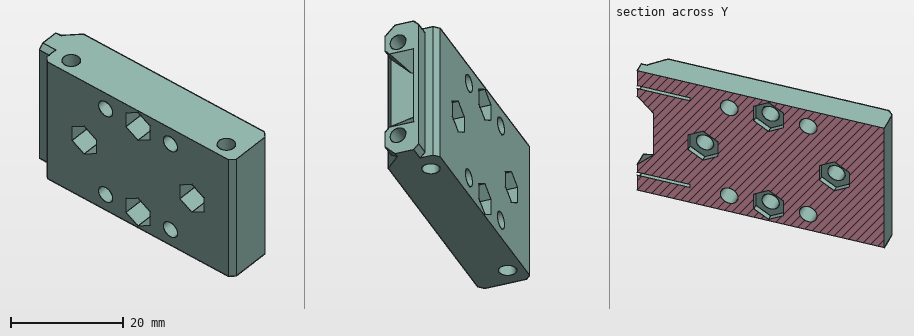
import cadquery as cq

length = 47.0
thickness = 10.0
height = 27.3
half_height = height / 2

edge_chamfer = 1.0
step_x = 3.0
slope_size = 3.0
slope_top_x = step_x + edge_chamfer

tongue_front_y = 2.5
tongue_back_y = thickness - edge_chamfer
tongue_back_chamfer = 1.97

recess_front_y = 3.52
recess_floor_half = 4.75
recess_mouth_half = recess_floor_half + step_x
ear_bevel_half = 8.65
ear_bevel_size = ear_bevel_half - recess_floor_half

ear_hole_diameter = 3.0
ear_hole_y = 6.5
ear_hole_z = 9.85
ear_hole_depth = 10.0

hole_diameter = 3.3
long_hole_y = 3.0
long_hole_xs = (7.0, 43.0)
pattern_x = 25.0
pattern_z = 10.0
plain_hole_offset = 7.5
side_nut_offset = 12.5
nut_corner_diameter = 6.5
nut_depth = 6.0


def make_body():
    outline = [
        (step_x, edge_chamfer),
        (step_x + edge_chamfer, 0),
        (length - edge_chamfer, 0),
        (length, edge_chamfer),
        (length, thickness - edge_chamfer),
        (length - edge_chamfer, thickness),
        (slope_top_x, thickness),
        (slope_top_x - slope_size, thickness - slope_size),
        (step_x, thickness - slope_size),
    ]
    return cq.Workplane("XY").workplane(offset=-half_height).polyline(outline).close().extrude(height)


def make_tongue():
    front_z = half_height - edge_chamfer
    back_z = half_height - tongue_back_chamfer
    outline = [
        (tongue_front_y, -front_z),
        (tongue_front_y + edge_chamfer, -half_height),
        (tongue_back_y - tongue_back_chamfer, -half_height),
        (tongue_back_y, -back_z),
        (tongue_back_y, back_z),
        (tongue_back_y - tongue_back_chamfer, half_height),
        (tongue_front_y + edge_chamfer, half_height),
        (tongue_front_y, front_z),
    ]
    return cq.Workplane("YZ").polyline(outline).close().extrude(step_x)


def make_recess():
    flare = [
        (0, -recess_mouth_half),
        (step_x, -recess_floor_half),
        (step_x, recess_floor_half),
        (0, recess_mouth_half),
    ]
    pocket = (
        cq.Workplane("XZ", origin=(0, recess_front_y, 0))
        .polyline(flare).close()
        .extrude(-(tongue_back_y - recess_front_y))
    )
    wedge_outline = [
        (tongue_back_y - ear_bevel_size, -recess_floor_half),
        (tongue_back_y, -ear_bevel_half),
        (tongue_back_y, ear_bevel_half),
        (tongue_back_y - ear_bevel_size, recess_floor_half),
    ]
    wedge = cq.Workplane("YZ").polyline(wedge_outline).close().extrude(step_x)
    return pocket.union(wedge)


def make_ear_holes():
    return (
        cq.Workplane("YZ")
        .pushPoints([(ear_hole_y, -ear_hole_z), (ear_hole_y, ear_hole_z)])
        .circle(ear_hole_diameter / 2).extrude(ear_hole_depth)
    )


def make_long_holes():
    return (
        cq.Workplane("XY").workplane(offset=-half_height)
        .pushPoints([(x, long_hole_y) for x in long_hole_xs])
        .circle(hole_diameter / 2).extrude(height)
    )


nut_points = [
    (pattern_x - side_nut_offset, 0),
    (pattern_x + side_nut_offset, 0),
    (pattern_x, -pattern_z),
    (pattern_x, pattern_z),
]
plain_points = [
    (pattern_x + x_side * plain_hole_offset, z_side * pattern_z)
    for x_side in (-1, 1)
    for z_side in (-1, 1)
]


def make_cross_holes():
    return (
        cq.Workplane("XZ").pushPoints(nut_points + plain_points)
        .circle(hole_diameter / 2).extrude(-thickness)
    )


def make_nut_pockets():
    pockets = cq.Workplane("XZ")
    for x, z in nut_points:
        pocket = (
            cq.Workplane("XZ").transformed(offset=(x, z, 0), rotate=(0, 0, 90))
            .polygon(6, nut_corner_diameter).extrude(-nut_depth)
        )
        pockets = pockets.add(pocket)
    return pockets.combine()


result = (
    make_body()
    .union(make_tongue())
    .cut(make_recess())
    .cut(make_ear_holes())
    .cut(make_long_holes())
    .cut(make_cross_holes())
    .cut(make_nut_pockets())
)